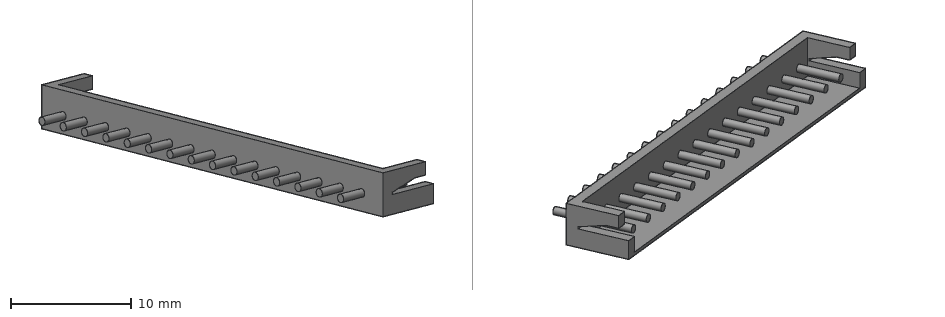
import cadquery as cq

length = 40.0
depth = 6.0
height = 3.8
wall = 1.0
floor_thickness = 0.3

pin_count = 15
pin_pitch = length / (pin_count + 1)
pin_diameter = 0.7
pin_axis_height = 1.6
pin_projection = 2.5

lip_setback = 0.95
lip_bottom = 2.65
lip_y = depth - lip_setback

step_height = 1.7
slope_start_y = 3.8
notch_end_y = 1.15
notch_end_top = 1.9


def make_housing():
    block = cq.Workplane("XY").box(length, depth, height, centered=False)
    cavity = (
        cq.Workplane("XY")
        .box(length - 2 * wall, depth - wall, height - floor_thickness, centered=False)
        .translate((wall, wall, floor_thickness))
    )
    return block.cut(cavity)


def make_end_wall_notch():
    """Notch profile with the lip setback, swept along X so that it cuts both end walls."""
    return (
        cq.Workplane("YZ")
        .moveTo(depth, step_height)
        .lineTo(notch_end_y, step_height)
        .lineTo(notch_end_y, notch_end_top)
        .lineTo(slope_start_y, lip_bottom)
        .lineTo(lip_y, lip_bottom)
        .lineTo(lip_y, height)
        .lineTo(depth, height)
        .close()
        .extrude(length)
    )


def make_pins():
    centers = [(i * pin_pitch, pin_axis_height) for i in range(1, pin_count + 1)]
    return (
        cq.Workplane("XZ", origin=(0, lip_y, 0))
        .pushPoints(centers)
        .circle(pin_diameter / 2)
        .extrude(lip_y + pin_projection)
    )


result = make_housing().cut(make_end_wall_notch()).union(make_pins())